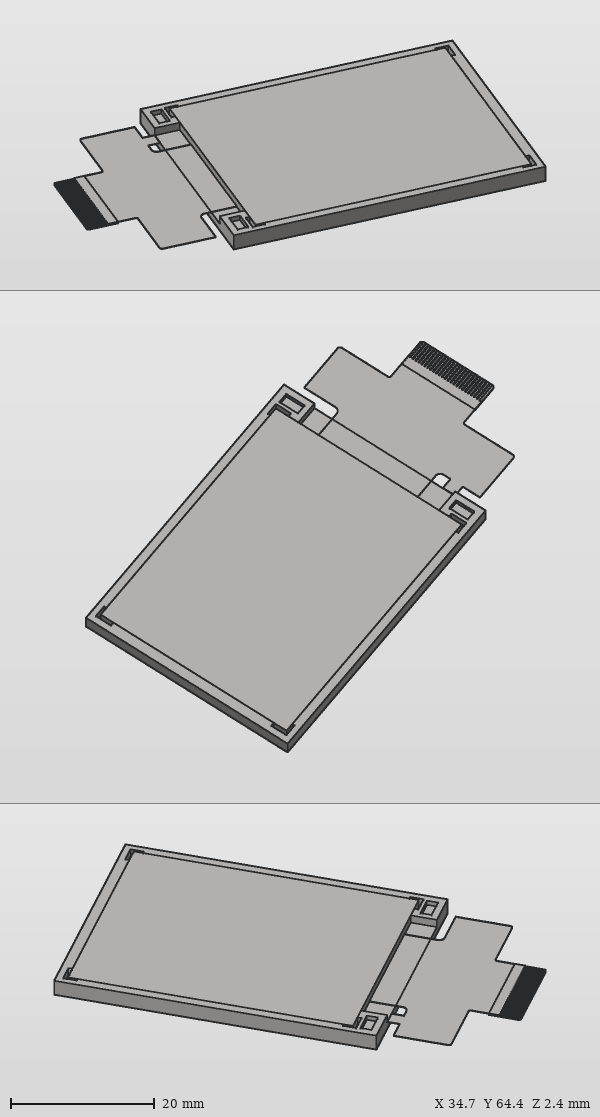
import cadquery as cq


OVERALL_LENGTH = 64.4
HOUSING_WIDTH = 34.7
HOUSING_LENGTH = 46.8
HOUSING_HEIGHT = 2.4
FLOOR_HEIGHT = 1.15
LEDGE_WIDTH = 24.2

PANEL_WIDTH = 32.0
PANEL_FRONT_Y = 3.8
BACK_RIM = 1.6
PANEL_BACK_Y = HOUSING_LENGTH - BACK_RIM

RELIEF_SIDE_GAP = 0.4
RELIEF_END_GAP = 0.6
RELIEF_X_OVERLAP = 2.2
RELIEF_Y_OVERLAP = 1.35

RECESS_WIDTH = 3.15
RECESS_LENGTH = 1.6
RECESS_DEPTH = 0.7
RECESS_X = 14.6
RECESS_Y = 1.85

FLEX_THICKNESS = 0.095
FLEX_TOP = FLOOR_HEIGHT + FLEX_THICKNESS
NECK_WIDTH = 17.05
NECK_X = 0.5
NECK_CORNER_RADIUS = 0.8
WING_WIDTH = 30.25
WING_X = 0.05
WING_BACK_Y = -1.8
WING_FRONT_Y = -10.1
WING_CORNER_RADIUS = 0.4
TAIL_WIDTH = 2.1

CONNECTOR_WIDTH = 12.6
CONNECTOR_X = 0.205
CONNECTOR_FRONT_Y = HOUSING_LENGTH - OVERALL_LENGTH
CONNECTOR_CORNER_RADIUS = 0.3
STIFFENER_THICKNESS = 0.2
STIFFENER_LENGTH = 4.65
PAD_COUNT = 24
PAD_SPAN = 11.5
PAD_WIDTH = 0.355
PAD_LENGTH = 3.1
PAD_BACK_Y = CONNECTOR_FRONT_Y + PAD_LENGTH


def centred_block(x, width, y_min, y_max, z_min, z_max):
    """Box of the given width centred on x, between the given limits in Y and Z."""
    corner = cq.Workplane("XY", origin=(x - width / 2, y_min, z_min))
    return corner.box(width, y_max - y_min, z_max - z_min, centered=False)


def make_panel():
    """Flat display panel resting on the housing floor."""
    return centred_block(0, PANEL_WIDTH, PANEL_FRONT_Y, PANEL_BACK_Y, FLOOR_HEIGHT, HOUSING_HEIGHT)


def cut_corner_reliefs(housing):
    """Pockets at the four panel corners, each reaching past the panel on two sides."""
    width = RELIEF_X_OVERLAP + RELIEF_SIDE_GAP
    length = RELIEF_Y_OVERLAP + RELIEF_END_GAP
    centre_x = PANEL_WIDTH / 2 + RELIEF_SIDE_GAP - width / 2
    front_y = PANEL_FRONT_Y - RELIEF_END_GAP
    back_y = PANEL_BACK_Y + RELIEF_END_GAP - length
    for x in (-centre_x, centre_x):
        for y in (front_y, back_y):
            relief = centred_block(x, width, y, y + length, FLOOR_HEIGHT, HOUSING_HEIGHT)
            housing = housing.cut(relief)
    return housing


def cut_post_recesses(housing):
    """Shallow rectangular recess in the top of each front post."""
    front_y = RECESS_Y - RECESS_LENGTH / 2
    back_y = RECESS_Y + RECESS_LENGTH / 2
    bottom = HOUSING_HEIGHT - RECESS_DEPTH
    for x in (-RECESS_X, RECESS_X):
        housing = housing.cut(centred_block(x, RECESS_WIDTH, front_y, back_y, bottom, HOUSING_HEIGHT))
    return housing


def make_housing():
    """Tray with a seat for the panel and an open ledge in front of it for the flex."""
    housing = centred_block(0, HOUSING_WIDTH, 0, HOUSING_LENGTH, 0, HOUSING_HEIGHT)
    ledge = centred_block(0, LEDGE_WIDTH, 0, PANEL_FRONT_Y, FLOOR_HEIGHT, HOUSING_HEIGHT)
    housing = housing.cut(make_panel()).cut(ledge)
    housing = cut_corner_reliefs(housing)
    return cut_post_recesses(housing)


def round_corner(plate, x, y, radius):
    """Round the upright edge of a plate nearest to the corner (x, y)."""
    corner = cq.selectors.NearestToPointSelector((x, y, FLOOR_HEIGHT))
    return plate.edges("|Z").edges(corner).fillet(radius)


def make_flex_sheet():
    """Thin sheet on the floor: neck, wings, tail and the connector up to its pads."""
    bottom, top = FLOOR_HEIGHT, FLEX_TOP
    neck = centred_block(NECK_X, NECK_WIDTH, WING_BACK_Y, PANEL_FRONT_Y, bottom, top)
    wings = centred_block(WING_X, WING_WIDTH, WING_FRONT_Y, WING_BACK_Y, bottom, top)
    connector = centred_block(CONNECTOR_X, CONNECTOR_WIDTH, PAD_BACK_Y, WING_FRONT_Y, bottom, top)
    tail_x = (TAIL_WIDTH - LEDGE_WIDTH) / 2
    tail = centred_block(tail_x, TAIL_WIDTH, WING_BACK_Y, 0, bottom, top)
    sheet = neck.union(wings).union(connector).union(tail)
    for side in (-1, 1):
        sheet = round_corner(sheet, NECK_X + side * NECK_WIDTH / 2, WING_BACK_Y, NECK_CORNER_RADIUS)
        sheet = round_corner(sheet, WING_X + side * WING_WIDTH / 2, WING_FRONT_Y, WING_CORNER_RADIUS)
        sheet = round_corner(
            sheet, CONNECTOR_X + side * CONNECTOR_WIDTH / 2, WING_FRONT_Y, CONNECTOR_CORNER_RADIUS)
    return sheet


def make_stiffener():
    """Backing plate under the connector end."""
    stiffener = centred_block(
        CONNECTOR_X, CONNECTOR_WIDTH,
        CONNECTOR_FRONT_Y, CONNECTOR_FRONT_Y + STIFFENER_LENGTH,
        FLOOR_HEIGHT - STIFFENER_THICKNESS, FLOOR_HEIGHT,
    )
    return stiffener.edges("|Z and <Y").fillet(CONNECTOR_CORNER_RADIUS)


def make_flex():
    """Sheet and stiffener, with a row of contact pads standing on the stiffener."""
    flex = make_flex_sheet().union(make_stiffener())
    pitch = PAD_SPAN / (PAD_COUNT - 1)
    first_pad_x = CONNECTOR_X - PAD_SPAN / 2
    for index in range(PAD_COUNT):
        pad = centred_block(
            first_pad_x + index * pitch, PAD_WIDTH,
            CONNECTOR_FRONT_Y, PAD_BACK_Y, FLOOR_HEIGHT, FLEX_TOP,
        )
        flex = flex.union(pad)
    return flex


def make_display():
    """Panel and flex as one body; the back end of the flex meets the panel's front edge."""
    return make_panel().union(make_flex())


housing = make_housing()
display = make_display()

result = cq.Compound.makeCompound([housing.val(), display.val()])